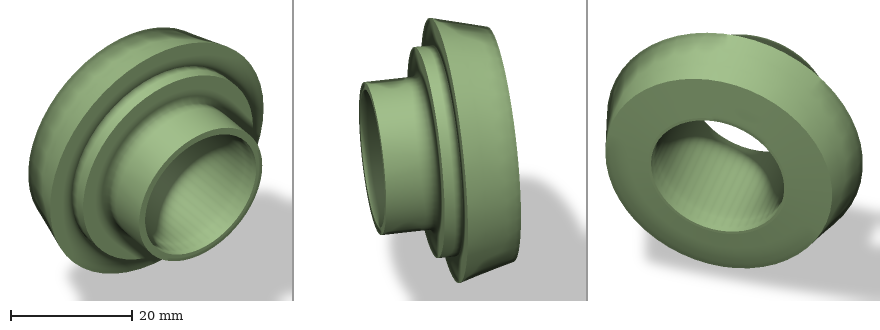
import cadquery as cq

total_length = 22.0
nose_height = 0.65
head_length = 10.0
flange_thickness = 3.1

head_diameter = 44.0
head_front_diameter = 39.0
nose_diameter = 23.85
flange_diameter = 35.02
hub_diameter = 25.4
bore_diameter = 22.9

neck_fillet = 0.92

flange_end = head_length + flange_thickness


def make_body():
    """Revolve the stepped outer shape around X, without the bore."""
    outline = (
        cq.Workplane("XY")
        .lineTo(0, nose_diameter / 2)
        .lineTo(nose_height, head_front_diameter / 2)
        .lineTo(head_length, head_diameter / 2)
        .lineTo(head_length, flange_diameter / 2)
        .lineTo(flange_end, flange_diameter / 2)
        .lineTo(flange_end, hub_diameter / 2 + neck_fillet)
        .radiusArc((flange_end + neck_fillet, hub_diameter / 2), -neck_fillet)
        .lineTo(total_length, hub_diameter / 2)
        .lineTo(total_length, 0)
        .close()
    )
    return outline.revolve(360, (0, 0, 0), (1, 0, 0))


def make_bore():
    """Plain bore through the whole length."""
    return cq.Workplane("YZ").circle(bore_diameter / 2).extrude(total_length)


result = make_body().cut(make_bore())